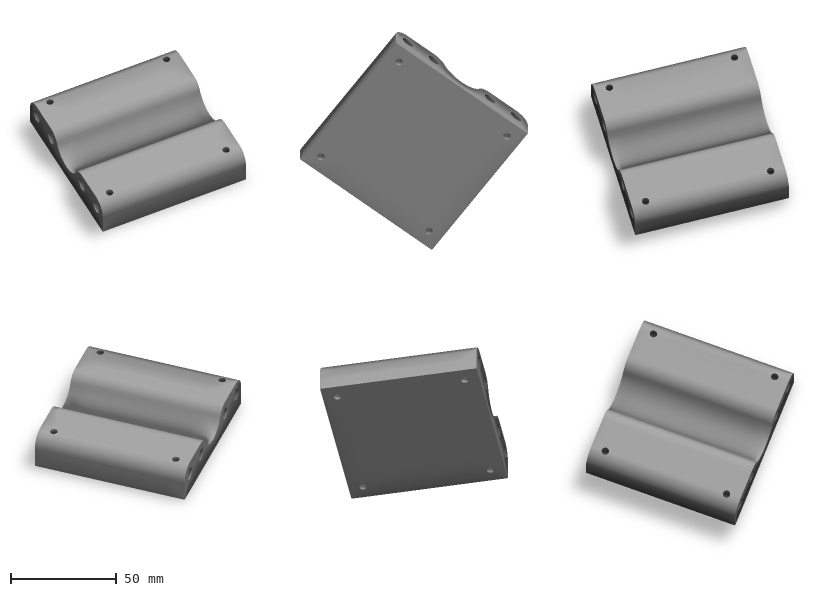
import cadquery as cq
import math

width = 78.1
length = 75.5
height = 17.5

edge_radius = 7.0
groove_depth = 10.5
inner_bore_x = 16.6
outer_bore_x = width / 2 - edge_radius
bore_z = height - edge_radius
bore_diameter = 6.0

mount_diameter = 3.5
mount_end_distance = 7.0
mount_x = outer_bore_x
mount_y = length / 2 - mount_end_distance

groove_bottom = height - groove_depth
bore_rise = bore_z - groove_bottom
groove_radius = (inner_bore_x**2 + bore_rise**2 - edge_radius**2) / (2 * (edge_radius + bore_rise))
groove_center_z = groove_bottom + groove_radius

tangent_share = groove_radius / (groove_radius + edge_radius)
tangent_x = inner_bore_x * tangent_share
tangent_z = groove_center_z + (bore_z - groove_center_z) * tangent_share


def point_on_edge(center_x, angle):
    """Point on the rounded edge centred at a bore, at an angle in degrees from +X."""
    radians = math.radians(angle)
    return (
        center_x + edge_radius * math.cos(radians),
        bore_z + edge_radius * math.sin(radians),
    )


def mirrored(point):
    return (-point[0], point[1])


def make_body():
    tangent_angle = math.degrees(math.atan2(tangent_z - bore_z, tangent_x - inner_bore_x)) % 360
    inner_middle = point_on_edge(inner_bore_x, (90 + tangent_angle) / 2)
    outer_middle = point_on_edge(outer_bore_x, 45)
    tangent = (tangent_x, tangent_z)
    return (
        cq.Workplane("XZ", origin=(0, length / 2, 0))
        .moveTo(-width / 2, 0)
        .lineTo(width / 2, 0)
        .lineTo(width / 2, bore_z)
        .threePointArc(outer_middle, (outer_bore_x, height))
        .lineTo(inner_bore_x, height)
        .threePointArc(inner_middle, tangent)
        .threePointArc((0, groove_bottom), mirrored(tangent))
        .threePointArc(mirrored(inner_middle), (-inner_bore_x, height))
        .lineTo(-outer_bore_x, height)
        .threePointArc(mirrored(outer_middle), (-width / 2, bore_z))
        .close()
        .extrude(length)
    )


def make_long_bores():
    centers = [(side * x, bore_z) for side in (-1, 1) for x in (inner_bore_x, outer_bore_x)]
    return (
        cq.Workplane("XZ", origin=(0, length / 2, 0))
        .pushPoints(centers)
        .circle(bore_diameter / 2)
        .extrude(length)
    )


def make_mounting_holes():
    return (
        cq.Workplane("XY")
        .rect(2 * mount_x, 2 * mount_y, forConstruction=True)
        .vertices()
        .circle(mount_diameter / 2)
        .extrude(height)
    )


result = make_body().cut(make_long_bores()).cut(make_mounting_holes())